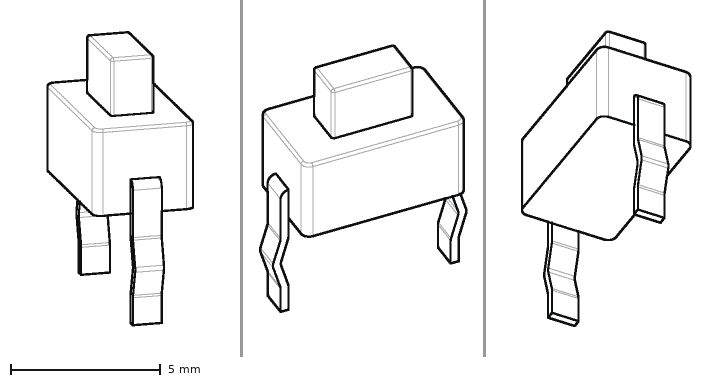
import cadquery as cq

total_height = 8.8
body_length = 6.0
body_width = 3.5
body_height = 3.0
body_corner_radius = 0.3
edge_radius = 0.1

button_length = 3.0
button_width = 1.5
button_height = 2.0

lead_thickness = 0.3
lead_width = 1.0
lead_top = 1.2
knee_offset = 0.3
kink_half_height = 1.0
straight_foot = 1.0
bend_radius = 0.3

lead_bottom = body_height + button_height - total_height
kink_bottom = lead_bottom + straight_foot
knee_height = kink_bottom + kink_half_height
kink_top = knee_height + kink_half_height
inner_x = body_length / 2
outer_x = inner_x + lead_thickness
knee_x = outer_x + knee_offset


def make_body():
    body = cq.Workplane("XY").box(body_length, body_width, body_height, centered=(True, True, False))
    body = body.edges("|Z").fillet(body_corner_radius)
    return body.faces(">Z").edges().fillet(edge_radius)


def make_button():
    button = (
        cq.Workplane("XY")
        .workplane(offset=body_height)
        .box(button_length, button_width, button_height, centered=(True, True, False))
    )
    return button.edges("|Z or >Z").fillet(edge_radius)


def make_lead():
    """Kinked strip lead on the +X end of the housing."""
    lead = (
        cq.Workplane("XZ")
        .moveTo(inner_x, lead_bottom)
        .lineTo(outer_x, lead_bottom)
        .lineTo(outer_x, kink_bottom)
        .lineTo(knee_x, knee_height)
        .lineTo(outer_x, kink_top)
        .lineTo(outer_x, lead_top - lead_thickness)
        .radiusArc((inner_x, lead_top), -lead_thickness)
        .lineTo(inner_x, kink_top)
        .lineTo(knee_x - lead_thickness, knee_height)
        .lineTo(inner_x, kink_bottom)
        .close()
        .extrude(lead_width / 2, both=True)
    )
    bend_edges = cq.selectors.BoxSelector(
        (inner_x - lead_thickness, -lead_width, kink_bottom - bend_radius),
        (knee_x + lead_thickness, lead_width, kink_top + bend_radius),
    )
    return lead.edges("|Y").edges(bend_edges).fillet(bend_radius)


lead = make_lead()
result = make_body().union(make_button()).union(lead).union(lead.mirror("YZ"))